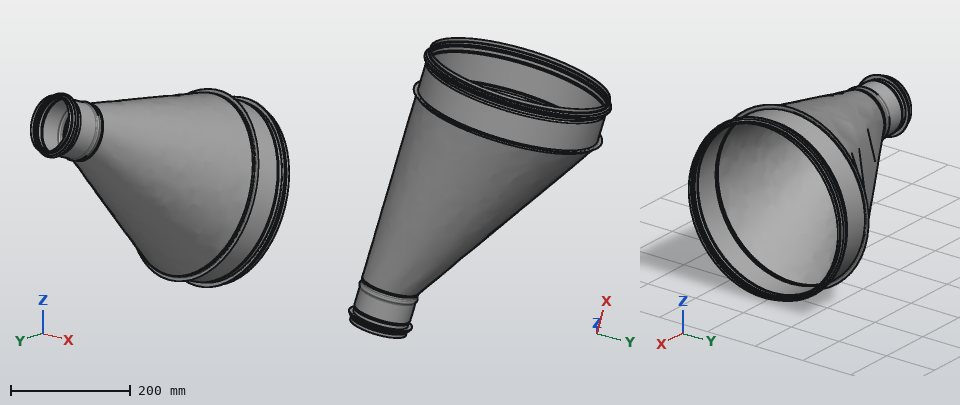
import cadquery as cq
import math

length = 489.0
sheet = 0.5

small_radius = 49.0
large_radius = 156.5

small_lip_start = 73.0
taper_start = 76.0
taper_end = 408.0
cone_end = 412.0
small_axis_y = small_radius - large_radius
large_axis_y = 0.0

small_end = (0.0, 1, small_axis_y)
large_end = (length, -1, large_axis_y)

ring_diameter = 328.2
ring_width = 1.5
ring_foot = 1.5

groove_depth = 2.0
groove_front_top = 6.0
groove_front_bottom = 7.0
groove_back_bottom = 22.5
groove_back_top = 26.0

base_height = -1.2
lip_root_height = 0.5
lip_height = 3.5
lip_root = 8.0
lip_tip_start = 10.5
lip_back = 11.3
fin_height = 6.0
fin_front = 13.5
fin_width = 2.0
gasket_back = 22.0

bead_center = 64.0
bead_half_width = 5.0
bead_height = 2.0


def revolve(outline, axis_y):
    """Closed XY outline turned a full revolution about the X-parallel axis at axis_y."""
    return outline.close().revolve(360, (0, axis_y, 0), (1, axis_y, 0))


def placed(points, end_x, direction, axis_y):
    """Turn (distance from open end, radius) pairs into XY points on the -Y side of the axis."""
    return [(end_x + direction * distance, axis_y - radius) for distance, radius in points]


def groove_points(radius):
    """Collar surface from the open end to the back of the gasket groove."""
    return [
        (0, radius),
        (groove_front_top, radius),
        (groove_front_bottom, radius - groove_depth),
        (groove_back_bottom, radius - groove_depth),
        (groove_back_top, radius),
    ]


def add_bead(outline, radius, direction):
    """Continue an outline over the bead, toward +X (1) or -X (-1), with three tangent arcs."""
    half = direction * bead_half_width
    bead_points = [
        (bead_center - half / 2, radius + bead_height / 2),
        (bead_center + half / 2, radius + bead_height / 2),
        (bead_center + half, radius),
    ]
    for point in placed(bead_points, *small_end):
        outline = outline.tangentArcPoint(point, relative=False)
    return outline


def make_small_collar():
    """Thin tube with a gasket groove and a hollow bead; it ends inside the cone's lip."""
    inner_radius = small_radius - sheet
    bead_start = bead_center - bead_half_width
    bead_end = bead_center + bead_half_width
    outer = groove_points(small_radius) + [(bead_start, small_radius)]
    inner = groove_points(inner_radius)[::-1]
    ends = [(taper_start, small_radius), (taper_start, inner_radius), (bead_end, inner_radius)]

    outline = cq.Workplane("XY").polyline(placed(outer, *small_end))
    outline = add_bead(outline, small_radius, 1)
    for point in placed(ends, *small_end):
        outline = outline.lineTo(*point)
    outline = add_bead(outline, inner_radius, -1)
    for point in placed(inner, *small_end):
        outline = outline.lineTo(*point)
    return revolve(outline, small_axis_y)


def make_large_collar():
    """Thin tube with a gasket groove; it starts inside the cone's lip."""
    inner_radius = large_radius - sheet
    depth = length - taper_end
    points = groove_points(large_radius) + [(depth, large_radius), (depth, inner_radius)]
    points += groove_points(inner_radius)[::-1]
    outline = cq.Workplane("XY").polyline(placed(points, *large_end))
    return revolve(outline, large_axis_y)


def make_gasket(collar_radius, end_x, direction, axis_y):
    """Rubber ring in a collar's groove, with a slanted lip in front of an upright fin."""
    groove_radius = collar_radius - groove_depth
    base_radius = collar_radius + base_height
    lip_radius = collar_radius + lip_height
    fin_radius = collar_radius + fin_height
    points = [
        (groove_front_bottom, groove_radius),
        (groove_front_top, collar_radius),
        (lip_root, collar_radius + lip_root_height),
        (lip_tip_start, lip_radius),
        (lip_back, lip_radius),
        (lip_back, base_radius),
        (fin_front, base_radius),
        (fin_front, fin_radius),
        (fin_front + fin_width, fin_radius),
        (fin_front + fin_width, base_radius),
        (gasket_back, base_radius),
        (gasket_back, groove_radius),
    ]
    outline = cq.Workplane("XY").polyline(placed(points, end_x, direction, axis_y))
    return revolve(outline, axis_y)


def cone_envelope(small_end_radius, large_end_radius):
    """Solid cone between two offset circles, with a cylinder at each end."""
    small_lip = (
        cq.Workplane("YZ", origin=(small_lip_start, small_axis_y, 0))
        .circle(small_end_radius)
        .extrude(taper_start - small_lip_start)
    )
    taper = (
        cq.Workplane("YZ", origin=(taper_start, small_axis_y, 0))
        .circle(small_end_radius)
        .workplane(offset=taper_end - taper_start)
        .center(large_axis_y - small_axis_y, 0)
        .circle(large_end_radius)
        .loft(ruled=True)
    )
    large_lip = (
        cq.Workplane("YZ", origin=(taper_end, large_axis_y, 0))
        .circle(large_end_radius)
        .extrude(cone_end - taper_end)
    )
    return small_lip.union(taper).union(large_lip)


def make_cone():
    """Hollow eccentric cone whose lips fit over the two collars."""
    outside = cone_envelope(small_radius + sheet, large_radius + sheet)
    return outside.cut(cone_envelope(small_radius, large_radius)).solids()


def make_stop_ring():
    """Upright ring around the large collar, with a rounded rim and a concave foot on the cone's side."""
    ring_radius = ring_diameter / 2
    foot_radius = large_radius + sheet
    front = cone_end + ring_foot
    back = front + ring_width
    rim_shoulder = ring_radius - ring_width / 2
    arc_inset = ring_foot * math.sqrt(0.5)
    foot_start, foot_middle, foot_end, rim_front, rim_top, rim_back, inner_back, inner_front = placed(
        [
            (cone_end, foot_radius),
            (cone_end + arc_inset, foot_radius + ring_foot - arc_inset),
            (front, foot_radius + ring_foot),
            (front, rim_shoulder),
            ((front + back) / 2, ring_radius),
            (back, rim_shoulder),
            (back, large_radius),
            (cone_end, large_radius),
        ],
        0,
        1,
        large_axis_y,
    )
    outline = (
        cq.Workplane("XY")
        .moveTo(*inner_front)
        .lineTo(*foot_start)
        .threePointArc(foot_middle, foot_end)
        .lineTo(*rim_front)
        .threePointArc(rim_top, rim_back)
        .lineTo(*inner_back)
    )
    return revolve(outline, large_axis_y)


small_collar = make_small_collar()
large_collar = make_large_collar()
small_gasket = make_gasket(small_radius, *small_end)
large_gasket = make_gasket(large_radius, *large_end)
cone = make_cone()
stop_ring = make_stop_ring()

bodies = [small_collar, large_collar, small_gasket, large_gasket, cone, stop_ring]
result = cq.Compound.makeCompound([body.val() for body in bodies])